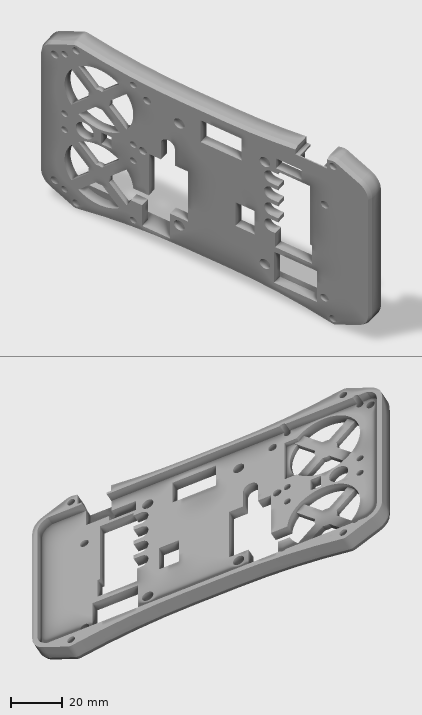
import cadquery as cq
import math

LENGTH = 154.2
DEPTH = 8.0
PLATE = 4.2
HALF_LENGTH = LENGTH / 2

PEAK_X = 60.6
PEAK_Z = 44.7
CORNER_Z = 36.5
CORNER_RADIUS = 8.3
PEAK_RADIUS = 3.4
WAIST_HALF_LENGTH = 10.0
WAIST_Z = 39.6
BEVEL_INSET = 0.8
BEVEL_DEPTH = 1.9

WALL = 2.3
CAVITY_HALF_HEIGHT = 37.3

FAN_X = -49.3
FAN_Z = 20.4
FAN_RADIUS = 16.0
HUB_RADIUS = 5.0
SPOKE_WIDTH = 4.6
SPOKE_THICKNESS = 2.3
FAN_HOLE_OFFSET = 16.0
FAN_HOLE_DIAMETER = 3.1

RIM_RECESS_RIGHT = -32.0
RIM_RECESS_HALF_HEIGHT = 10.8
RIM_THICKNESS = 2.0

CORNER_HOLE_X = 60.0
CORNER_HOLE_Z = 41.0
CORNER_HOLE_DIAMETER = 3.4
BOARD_HOLE_DIAMETER = 5.0
BOARD_HOLES = [(x, z) for x in (-11.9, 28.2) for z in (26.8, -28.0)]
SCREW_HOLE_DIAMETER = 3.7
SCREW_HOLES = [(-70.0, 33.8), (-70.0, -34.0), (-26.8, 31.3), (-28.8, 3.2), (56.1, 18.3), (56.0, -31.8)]
CABLE_HOLE_DIAMETER = 8.3
CABLE_HOLE_X = -56.0

WINDOWS = [
    (-48.3, -43.5, -3.1, 3.1),
    (-1.9, 17.3, 22.0, 33.8),
    (14.5, 23.3, -14.6, -2.0),
    (33.5, 45.2, 26.2, 31.5),
    (32.5, 52.6, -36.0, -19.3),
]

STEP_BODY = (-26.0, -7.7, -23.9, 3.1)
STEP_FOOT = (-29.1, -16.2, -CAVITY_HALF_HEIGHT, -19.3)
STEP_BRANCH = (-38.5, -24.7, -26.2, -19.3)
STEP_SLOT_X = -17.1
STEP_SLOT_WIDTH = 6.5
STEP_SLOT_TOP = 15.1

COMB_BODY = (34.4, 49.3, -9.3, 24.8)
COMB_FOOT = (33.0, 50.3, -16.5, -6.6)
COMB_SLOT_LEFT = 27.9
COMB_SLOT_WIDTH = 6.5
COMB_SLOT_COUNT = 4
COMB_SLOT_TOP_Z = 20.2
COMB_SLOT_PITCH = 8.6

NOTCH_LEFT = 42.4
NOTCH_RIGHT = 57.2
NOTCH_Z = 38.4
POCKET_SIDE_LEDGE = 1.9
POCKET_FLOOR_Z = 28.8
POCKET_SKIN = 0.5


def box(left, right, bottom, top, front=0.0, back=DEPTH):
    """A block given by its X, Z and Y limits."""
    size = (right - left, back - front, top - bottom)
    return cq.Workplane("XY").box(*size, centered=False).translate((left, front, bottom))


def cylinder(x, z, diameter, back=DEPTH):
    """A round bar along Y, from the front face to the given depth."""
    return cq.Workplane("XZ").center(x, z).circle(diameter / 2).extrude(-back)


def waist_arc_middle():
    """Middle of the concave edge, which leaves the straight waist tangentially and ends at the peak."""
    run = PEAK_X - WAIST_HALF_LENGTH
    rise = PEAK_Z - WAIST_Z
    radius = (run**2 + rise**2) / (2 * rise)
    half_angle = math.asin(run / radius) / 2
    x = WAIST_HALF_LENGTH + radius * math.sin(half_angle)
    z = WAIST_Z + radius * (1 - math.cos(half_angle))
    return x, z


def edges_near(x):
    """Selects the edges whose middle lies close to +x or -x."""
    slack = 1.5
    left = cq.selectors.BoxSelector((-x - slack, -LENGTH, -LENGTH), (-x + slack, LENGTH, LENGTH))
    right = cq.selectors.BoxSelector((x - slack, -LENGTH, -LENGTH), (x + slack, LENGTH, LENGTH))
    return left + right


def outline_body(front, back):
    """The full outline with rounded corners, between two depths."""
    mid_x, mid_z = waist_arc_middle()
    body = (
        cq.Workplane("XZ", origin=(0, front, 0))
        .moveTo(-WAIST_HALF_LENGTH, WAIST_Z)
        .lineTo(WAIST_HALF_LENGTH, WAIST_Z)
        .threePointArc((mid_x, mid_z), (PEAK_X, PEAK_Z))
        .lineTo(HALF_LENGTH, CORNER_Z)
        .lineTo(HALF_LENGTH, -CORNER_Z)
        .lineTo(PEAK_X, -PEAK_Z)
        .threePointArc((mid_x, -mid_z), (WAIST_HALF_LENGTH, -WAIST_Z))
        .lineTo(-WAIST_HALF_LENGTH, -WAIST_Z)
        .threePointArc((-mid_x, -mid_z), (-PEAK_X, -PEAK_Z))
        .lineTo(-HALF_LENGTH, -CORNER_Z)
        .lineTo(-HALF_LENGTH, CORNER_Z)
        .lineTo(-PEAK_X, PEAK_Z)
        .threePointArc((-mid_x, mid_z), (-WAIST_HALF_LENGTH, WAIST_Z))
        .close()
        .extrude(front - back)
    )
    body = body.edges("|Y").edges(edges_near(HALF_LENGTH)).fillet(CORNER_RADIUS)
    return body.edges("|Y").edges(edges_near(PEAK_X)).fillet(PEAK_RADIUS)


def shell():
    """Solid outline with a bevelled front rim, hollowed from the back."""
    rim = outline_body(BEVEL_DEPTH, DEPTH)
    rim_face = rim.faces("<Y").wires().toPending().workplane()
    bevel_angle = math.degrees(math.atan2(BEVEL_INSET, BEVEL_DEPTH))
    front = rim_face.extrude(BEVEL_DEPTH, taper=bevel_angle, combine=False)
    plate_back = outline_body(PLATE, DEPTH).faces("<Y").wires().toPending().workplane()
    cavity = plate_back.offset2D(-WALL).extrude(PLATE - DEPTH, combine=False)
    band = box(-HALF_LENGTH, HALF_LENGTH, -CAVITY_HALF_HEIGHT, CAVITY_HALF_HEIGHT)
    return rim.union(front).cut(cavity.intersect(band))


def fan_spokes(z):
    """Two diagonal spokes that meet at a round hub, thinner than the plate."""
    spokes = cylinder(FAN_X, z, 2 * HUB_RADIUS, back=SPOKE_THICKNESS)
    reach = FAN_RADIUS + SPOKE_WIDTH
    for angle in (45, -45):
        spoke = box(-reach, reach, -SPOKE_WIDTH / 2, SPOKE_WIDTH / 2, back=SPOKE_THICKNESS)
        spokes = spokes.union(spoke.rotate((0, 0, 0), (0, 1, 0), angle).translate((FAN_X, 0, z)))
    return spokes


def fan_grille(z):
    """Round fan opening with the spokes left standing."""
    return cylinder(FAN_X, z, 2 * FAN_RADIUS).cut(fan_spokes(z))


def fan_rim_recess():
    """Thins the rim of the upper fan on its right side."""
    bottom = FAN_Z - RIM_RECESS_HALF_HEIGHT
    top = FAN_Z + RIM_RECESS_HALF_HEIGHT
    recess = box(FAN_X, RIM_RECESS_RIGHT, bottom, top, front=RIM_THICKNESS)
    return recess.cut(fan_spokes(FAN_Z))


def round_holes():
    """Every round hole in the plate, all passing right through."""
    corner = [(sx * CORNER_HOLE_X, sz * CORNER_HOLE_Z) for sx in (-1, 1) for sz in (-1, 1)]
    fan = [
        (FAN_X + sx * FAN_HOLE_OFFSET, centre + sz * FAN_HOLE_OFFSET)
        for centre in (FAN_Z, -FAN_Z)
        for sx in (-1, 1)
        for sz in (-1, 1)
    ]
    groups = [
        (CORNER_HOLE_DIAMETER, corner),
        (FAN_HOLE_DIAMETER, fan),
        (BOARD_HOLE_DIAMETER, BOARD_HOLES),
        (SCREW_HOLE_DIAMETER, SCREW_HOLES),
        (CABLE_HOLE_DIAMETER, [(CABLE_HOLE_X, 0)]),
    ]
    return [cylinder(x, z, diameter) for diameter, centres in groups for x, z in centres]


def stepped_opening():
    """Stepped opening with a round-ended slot above it and a branch into the lower fan."""
    radius = STEP_SLOT_WIDTH / 2
    slot_end = STEP_SLOT_TOP - radius
    slot_left = STEP_SLOT_X - radius
    slot = box(slot_left, slot_left + STEP_SLOT_WIDTH, STEP_BODY[2], slot_end)
    slot_round = cylinder(STEP_SLOT_X, slot_end, STEP_SLOT_WIDTH)
    return [box(*STEP_BODY), box(*STEP_FOOT), box(*STEP_BRANCH), slot, slot_round]


def comb_opening():
    """Tall opening with a row of round-ended slots on its left side."""
    radius = COMB_SLOT_WIDTH / 2
    slot_end = COMB_SLOT_LEFT + radius
    cutters = [box(*COMB_BODY), box(*COMB_FOOT)]
    for index in range(COMB_SLOT_COUNT):
        z = COMB_SLOT_TOP_Z - index * COMB_SLOT_PITCH
        cutters.append(box(slot_end, COMB_BODY[1], z - radius, z + radius))
        cutters.append(cylinder(slot_end, z, COMB_SLOT_WIDTH))
    return cutters


def notch_and_pocket():
    """Notch through the top wall, and a pocket below it that leaves a thin front skin."""
    notch = box(NOTCH_LEFT, NOTCH_RIGHT, NOTCH_Z, PEAK_Z)
    pocket = box(
        NOTCH_LEFT + POCKET_SIDE_LEDGE,
        NOTCH_RIGHT - POCKET_SIDE_LEDGE,
        POCKET_FLOOR_Z,
        PEAK_Z,
        front=POCKET_SKIN,
    )
    return [notch, pocket]


cutters = [fan_grille(FAN_Z), fan_grille(-FAN_Z)]
cutters += [fan_rim_recess()]
cutters += round_holes()
cutters += [box(*window) for window in WINDOWS]
cutters += stepped_opening()
cutters += comb_opening()
cutters += notch_and_pocket()

result = shell()
for cutter in cutters:
    result = result.cut(cutter)